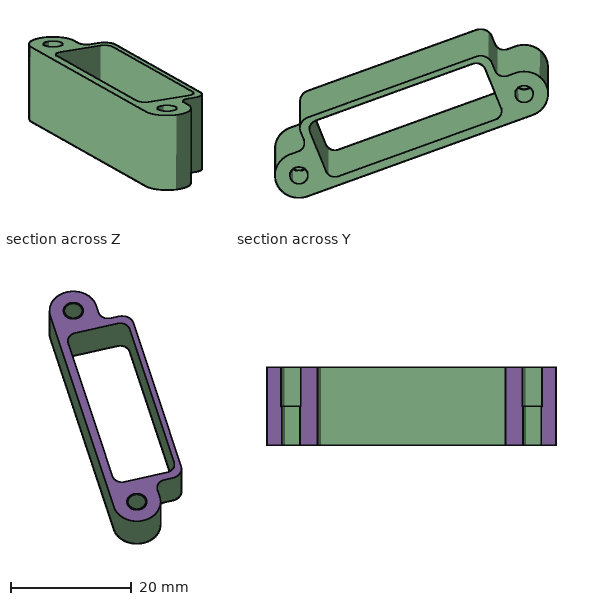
import cadquery as cq

length = 48.0
width = 13.0
height = 13.0

ear_radius = 4.0
upper_hole_diameter = 3.2
lower_hole_diameter = 3.0
hole_step_z = height / 2
ear_x = length / 2 - ear_radius

housing_length = 34.0
outer_corner_radius = 2.0
ear_blend_radius = 1.6
opening_length = 31.1
opening_width = 10.5
opening_corner_radius = 1.6
front_wall = 1.5

front_y = -width / 2
ear_y = front_y + ear_radius


def make_ear_bar():
    """Full-length bar with round ends that form the ears."""
    return (
        cq.Workplane("XY")
        .center(0, ear_y)
        .slot2D(length, 2 * ear_radius)
        .extrude(height)
    )


def make_housing():
    """Central housing, rounded at its two back corners."""
    return (
        cq.Workplane("XY")
        .box(housing_length, width, height, centered=(True, True, False))
        .edges("|Z and >Y")
        .fillet(outer_corner_radius)
    )


def blend_ears(body):
    """Round the inside corners where the housing meets the ears."""
    ear_back_y = ear_y + ear_radius
    for side in (-1, 1):
        corner = (side * housing_length / 2, ear_back_y, height / 2)
        body = body.edges(cq.NearestToPointSelector(corner)).fillet(ear_blend_radius)
    return body


def make_opening():
    """Through opening with rounded corners."""
    opening_y = front_y + front_wall + opening_width / 2
    return (
        cq.Workplane("XY")
        .center(0, opening_y)
        .rect(opening_length, opening_width)
        .extrude(height)
        .edges("|Z")
        .fillet(opening_corner_radius)
    )


def make_bores(diameter, bottom_z, top_z):
    """Pair of round bores on the ear centers, between two heights."""
    return (
        cq.Workplane("XY")
        .workplane(offset=bottom_z)
        .pushPoints([(-ear_x, ear_y), (ear_x, ear_y)])
        .circle(diameter / 2)
        .extrude(top_z - bottom_z)
    )


body = blend_ears(make_ear_bar().union(make_housing()))
body = body.cut(make_opening())

body = body.cut(make_bores(lower_hole_diameter, 0, hole_step_z))
result = body.cut(make_bores(upper_hole_diameter, hole_step_z, height))